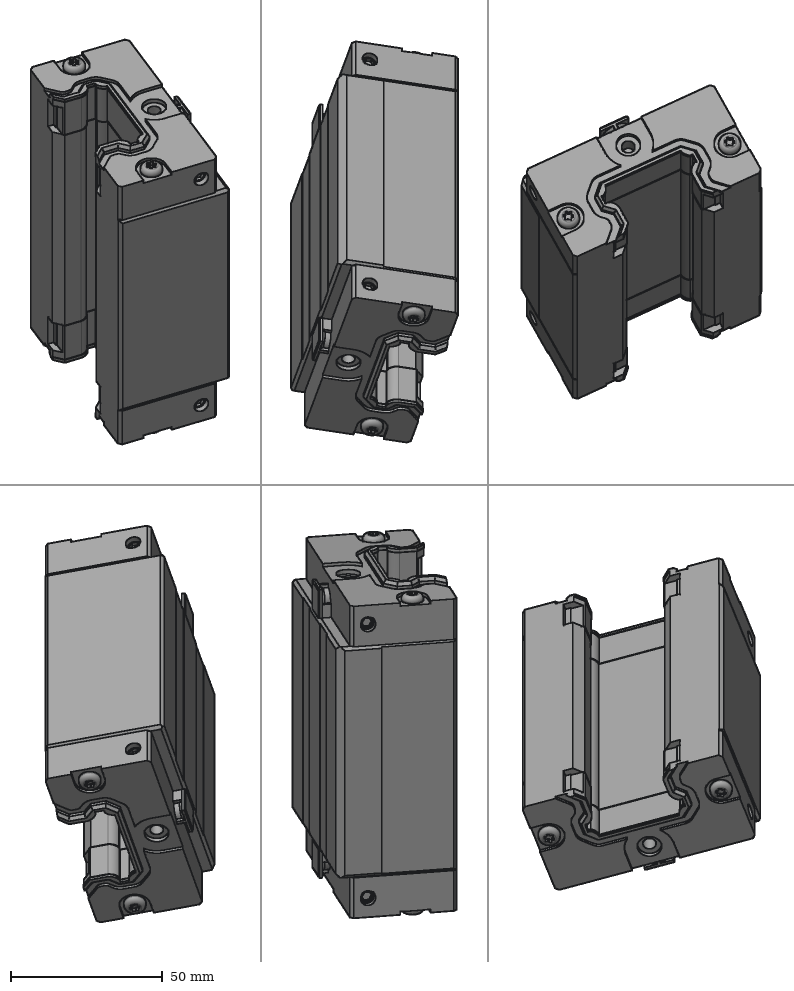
import cadquery as cq
import math

HALF_LENGTH = 55.8

BLOCK_WIDTH = 70.0
BLOCK_HEIGHT = 40.5
BLOCK_HALF_LENGTH = 40.4
BLOCK_END_BEVEL = 1.1
BLOCK_LEFT_CHAMFER = 2.6
BLOCK_RIGHT_CHAMFER = 1.1
SIDE_RECESS = 0.3
SIDE_RECESS_TOP = 25.4
TOP_GROOVE_INNER = 7.9
TOP_GROOVE_OUTER = 18.3
TOP_GROOVE_DEPTH = 0.2

CAP_WIDTH = 69.4
CAP_HEIGHT = 35.9
CAP_END = 54.5
CORNER_CHAMFER = 1.1

CHANNEL_TOP = 18.5
CHANNEL_TOP_HALF = 13.8
CHANNEL_WAIST_HALF = 16.8
CHANNEL_SHELF_HALF = 16.0
CHANNEL_WAIST_TOP = 15.5
CHANNEL_WAIST_BOTTOM = 12.5
CHANNEL_LIP_HALF = 13.4
CHANNEL_LIP_TOP = 9.0
CHANNEL_LIP_BOTTOM = 2.9
TRACK_RADIUS = 4.5
CAP_CLEARANCE = 0.2
BLOCK_CLEARANCE = 0.5

SEAL_TOP = 20.5
SEAL_TOP_HALF = 14.9
SEAL_WAIST_HALF = 18.7
SEAL_WAIST_TOP = SEAL_TOP - (SEAL_WAIST_HALF - SEAL_TOP_HALF)
SEAL_WAIST_BOTTOM = 11.6
SEAL_NECK_HALF = 15.7
SEAL_NECK_TOP = SEAL_WAIST_BOTTOM - (SEAL_WAIST_HALF - SEAL_NECK_HALF)
SEAL_NECK_BOTTOM = 3.5
SEAL_BEVEL = 0.9
TRENCH_WIDTH = 2.7
TRENCH_BEND_RADIUS = 4.5
TRENCH_NECK_RADIUS = 2.2
TRENCH_FLOOR = CAP_END - 1.1

PORT_HEIGHT = 29.1
PORT_TAB_RADIUS = 8.3
PORT_SEAT_DIAMETER = 8.0
PORT_SEAT_DEPTH = 1.6
PORT_HOLE_DIAMETER = 4.3
PORT_HOLE_DEPTH = 5.6

SCREW_X = 29.8
SCREW_HEIGHT = 14.0
SCREW_POCKET_RADIUS = 5.1
SCREW_HEAD_DIAMETER = 7.4
SCREW_CROWN_DIAMETER = 4.3
SCREW_RIM_HEIGHT = 0.5
LOBE_COUNT = 6
LOBE_CORE_DIAMETER = 2.5
LOBE_DIAMETER = 0.9
LOBE_CIRCLE_RADIUS = 1.2
SOCKET_DEPTH = 1.5

SET_SCREW_Y = 30.0
SET_SCREW_Z = 47.8
SET_SCREW_DIAMETER = 5.0
SET_SCREW_CROWN_DIAMETER = 4.0
SET_SCREW_SINK = 1.7
SET_SCREW_CHAMFER_DEPTH = 0.6
SET_SCREW_HEX = 3.6
SET_SCREW_HEX_DEPTH = 1.3

WINDOW_END = 51.7
WINDOW_INNER_FLOOR = 2.5
WINDOW_OUTER_FLOOR = 2.1
WINDOW_STEP_X = 18.4
WINDOW_OUTER_X = 20.2

ADAPTER_BASE_WIDTH = 9.9
ADAPTER_BASE_END = 45.0
ADAPTER_BARREL_Z = 45.5
ADAPTER_BARREL_DIAMETER = 7.6
ADAPTER_COLLAR_DIAMETER = 9.0
ADAPTER_CONE_BOTTOM = 37.8
ADAPTER_PLATE_WIDTH = 10.3
ADAPTER_PLATE_END = 50.4
ADAPTER_PLATE_BOTTOM = 38.9
ADAPTER_PLATE_TOP = 40.3
ADAPTER_PLATE_CHAMFER = 0.5
ADAPTER_RIB_WIDTH = 1.2

OVERLAP = 5.6


def box_between(x_range, y_range, z_range):
    """Axis-aligned box from (low, high) pairs."""
    spans = [high - low for low, high in (x_range, y_range, z_range)]
    corner = (x_range[0], y_range[0], z_range[0])
    return cq.Workplane("XY").box(*spans, centered=False).translate(corner)


def end_plane(z):
    return cq.Workplane("XY").workplane(offset=z)


def on_both_sides(solid):
    return solid.union(solid.mirror("YZ"))


def bulge_point(start, end):
    """Middle of the arc from start to end, bulging to the right of the travel direction."""
    chord_x = end[0] - start[0]
    chord_y = end[1] - start[1]
    chord = math.hypot(chord_x, chord_y)
    rise = TRACK_RADIUS - math.sqrt(TRACK_RADIUS**2 - (chord / 2) ** 2)
    middle_x = (start[0] + end[0]) / 2
    middle_y = (start[1] + end[1]) / 2
    return (middle_x + rise * chord_y / chord, middle_y - rise * chord_x / chord)


def channel(clearance, z_low, z_high):
    """Rail channel with its walls moved outwards by the clearance."""
    top = (CHANNEL_TOP_HALF, CHANNEL_TOP)
    shelf_top = (CHANNEL_SHELF_HALF, CHANNEL_WAIST_TOP)
    shelf_bottom = (CHANNEL_SHELF_HALF, CHANNEL_WAIST_BOTTOM)
    lip_top = (CHANNEL_LIP_HALF, CHANNEL_LIP_TOP)
    section = (
        end_plane(z_low)
        .moveTo(0, CHANNEL_TOP)
        .lineTo(*top)
        .threePointArc(bulge_point(top, shelf_top), shelf_top)
        .lineTo(CHANNEL_WAIST_HALF, CHANNEL_WAIST_TOP)
        .lineTo(CHANNEL_WAIST_HALF, CHANNEL_WAIST_BOTTOM)
        .lineTo(*shelf_bottom)
        .threePointArc(bulge_point(shelf_bottom, lip_top), lip_top)
        .lineTo(CHANNEL_LIP_HALF, CHANNEL_LIP_BOTTOM)
        .line(CHANNEL_LIP_BOTTOM + OVERLAP, -CHANNEL_LIP_BOTTOM - OVERLAP)
        .lineTo(0, -OVERLAP)
        .mirrorY()
    )
    if clearance > 0:
        section = section.offset2D(clearance, "intersection")
    return section.extrude(z_high - z_low)


def seal_outline(z):
    """Outer outline of the end seal, running on below the underside."""
    right = [
        (SEAL_TOP_HALF, SEAL_TOP),
        (SEAL_WAIST_HALF, SEAL_WAIST_TOP),
        (SEAL_WAIST_HALF, SEAL_WAIST_BOTTOM),
        (SEAL_NECK_HALF, SEAL_NECK_TOP),
        (SEAL_NECK_HALF, SEAL_NECK_BOTTOM),
        (SEAL_NECK_HALF + SEAL_NECK_BOTTOM + OVERLAP, -OVERLAP),
    ]
    left = [(-x, y) for x, y in reversed(right)]
    return end_plane(z).polyline(right + left).close()


def make_block():
    half = BLOCK_WIDTH / 2
    outline = [
        (-half, -OVERLAP),
        (half, -OVERLAP),
        (half, BLOCK_HEIGHT - BLOCK_RIGHT_CHAMFER),
        (half - BLOCK_RIGHT_CHAMFER, BLOCK_HEIGHT),
        (-half + BLOCK_LEFT_CHAMFER, BLOCK_HEIGHT),
        (-half, BLOCK_HEIGHT - BLOCK_LEFT_CHAMFER),
    ]
    ends = (-BLOCK_HALF_LENGTH, BLOCK_HALF_LENGTH)
    envelope = box_between((-half, half), (-OVERLAP, BLOCK_HEIGHT), ends)
    envelope = envelope.faces("|Z").chamfer(BLOCK_END_BEVEL)
    block = end_plane(ends[0]).polyline(outline).close().extrude(ends[1] - ends[0])
    block = block.intersect(envelope)
    block = block.cut(box_between((-half, half), (-OVERLAP, 0), ends))
    block = block.cut(box_between((-half, -half + SIDE_RECESS), (0, SIDE_RECESS_TOP), ends))
    block = block.edges("|Z").edges("<Y").chamfer(CORNER_CHAMFER)
    groove = box_between(
        (TOP_GROOVE_INNER, TOP_GROOVE_OUTER),
        (BLOCK_HEIGHT - TOP_GROOVE_DEPTH, BLOCK_HEIGHT),
        ends,
    )
    return block.cut(on_both_sides(groove)).cut(channel(BLOCK_CLEARANCE, *ends))


def make_end_trench():
    """Recess around the end seal, joined to the round tab of the lubrication port."""
    depth = CAP_END - TRENCH_FLOOR
    ring = seal_outline(TRENCH_FLOOR).offset2D(TRENCH_WIDTH, "intersection").extrude(depth)
    bends = ring.edges("|Z").filter(lambda edge: edge.Center().y > SEAL_NECK_TOP)
    ring = bends.fillet(TRENCH_BEND_RADIUS)
    necks = ring.edges("|Z").filter(lambda edge: 0 < edge.Center().y < SEAL_NECK_TOP)
    ring = necks.fillet(TRENCH_NECK_RADIUS)
    tab = end_plane(TRENCH_FLOOR).center(0, PORT_HEIGHT).circle(PORT_TAB_RADIUS).extrude(depth)
    tab_width = (-PORT_TAB_RADIUS, PORT_TAB_RADIUS)
    opening = box_between(tab_width, (PORT_HEIGHT, CAP_HEIGHT), (TRENCH_FLOOR, CAP_END))
    return ring.union(tab).union(opening)


def make_port():
    seat_floor = TRENCH_FLOOR - PORT_SEAT_DEPTH
    port_plane = end_plane(seat_floor).center(0, PORT_HEIGHT)
    seat = port_plane.circle(PORT_SEAT_DIAMETER / 2).extrude(PORT_SEAT_DEPTH)
    hole = port_plane.circle(PORT_HOLE_DIAMETER / 2).extrude(-PORT_HOLE_DEPTH)
    return seat.union(hole)


def make_screw_pocket():
    """Pocket around the right-hand screw, open to the side of the cap."""
    depth = CAP_END - TRENCH_FLOOR
    y_range = (SCREW_HEIGHT - SCREW_POCKET_RADIUS, SCREW_HEIGHT + SCREW_POCKET_RADIUS)
    screw_plane = end_plane(TRENCH_FLOOR).center(SCREW_X, SCREW_HEIGHT)
    round_end = screw_plane.circle(SCREW_POCKET_RADIUS).extrude(depth)
    return round_end.union(box_between((SCREW_X, CAP_WIDTH / 2), y_range, (TRENCH_FLOOR, CAP_END)))


def make_screw_head():
    """Domed head of the right-hand screw with a six-lobe socket."""
    head_radius = SCREW_HEAD_DIAMETER / 2
    crown_radius = SCREW_CROWN_DIAMETER / 2
    rim = TRENCH_FLOOR + SCREW_RIM_HEIGHT
    dome_width = head_radius - crown_radius
    dome_height = HALF_LENGTH - rim
    dome_middle = (crown_radius + dome_width * math.sqrt(0.5), rim + dome_height * math.sqrt(0.5))
    head = (
        cq.Workplane("XZ")
        .moveTo(0, TRENCH_FLOOR - OVERLAP)
        .lineTo(head_radius, TRENCH_FLOOR - OVERLAP)
        .lineTo(head_radius, rim)
        .threePointArc(dome_middle, (crown_radius, HALF_LENGTH))
        .lineTo(0, HALF_LENGTH)
        .close()
        .revolve(360, (0, 0), (0, 1))
    )
    socket = end_plane(HALF_LENGTH).circle(LOBE_CORE_DIAMETER / 2).extrude(-SOCKET_DEPTH)
    lobes = (
        end_plane(HALF_LENGTH)
        .polarArray(LOBE_CIRCLE_RADIUS, 360 / LOBE_COUNT / 2, 360, LOBE_COUNT)
        .circle(LOBE_DIAMETER / 2)
        .extrude(-SOCKET_DEPTH)
    )
    return head.cut(socket).cut(lobes).translate((SCREW_X, SCREW_HEIGHT, 0))


def make_set_screw_hole():
    """Hole in the right-hand side of the cap, with a sunk hexagon-socket set screw."""
    side = CAP_WIDTH / 2
    floor = side - SET_SCREW_SINK

    def disc_plane(x):
        return cq.Workplane("YZ", origin=(x, SET_SCREW_Y, SET_SCREW_Z))

    radius = SET_SCREW_DIAMETER / 2
    bore_depth = SET_SCREW_SINK + SET_SCREW_CHAMFER_DEPTH
    bore = disc_plane(floor - SET_SCREW_CHAMFER_DEPTH).circle(radius).extrude(bore_depth)
    chamfer_width = (SET_SCREW_DIAMETER - SET_SCREW_CROWN_DIAMETER) / 2
    taper = math.degrees(math.atan(chamfer_width / SET_SCREW_CHAMFER_DEPTH))
    tip = (
        disc_plane(floor - SET_SCREW_CHAMFER_DEPTH)
        .circle(radius)
        .extrude(SET_SCREW_CHAMFER_DEPTH, taper=taper)
    )
    socket = disc_plane(floor).polygon(6, SET_SCREW_HEX).extrude(-SET_SCREW_HEX_DEPTH)
    return bore.cut(tip).union(socket)


def make_lip_window():
    """Stepped window in the right-hand lip."""
    z_range = (BLOCK_HALF_LENGTH, WINDOW_END)
    inner = box_between((0, WINDOW_STEP_X), (-OVERLAP, WINDOW_INNER_FLOOR), z_range)
    outer = box_between((WINDOW_STEP_X, WINDOW_OUTER_X), (-OVERLAP, WINDOW_OUTER_FLOOR), z_range)
    return inner.union(outer)


def make_seal():
    """Raised end seal with a bevelled outer edge."""
    rise = HALF_LENGTH - CAP_END
    foot = seal_outline(TRENCH_FLOOR).extrude(CAP_END - TRENCH_FLOOR)
    bevel = seal_outline(CAP_END).extrude(rise, taper=math.degrees(math.atan(SEAL_BEVEL / rise)))
    reach = CAP_WIDTH / 2
    above_underside = box_between((-reach, reach), (0, CAP_HEIGHT), (TRENCH_FLOOR, HALF_LENGTH))
    return foot.union(bevel).intersect(above_underside)


def make_adapter():
    """Lubrication adapter: stepped base, round barrel with a conical collar, rib and top plate."""

    def upright_circle(y, diameter):
        return cq.Workplane("XZ", origin=(0, y, ADAPTER_BARREL_Z)).circle(diameter / 2)

    def slab(width, y_range, z_end):
        return box_between((-width / 2, width / 2), y_range, (BLOCK_HALF_LENGTH, z_end))

    stem = (CAP_HEIGHT, ADAPTER_PLATE_BOTTOM)
    base = slab(ADAPTER_BASE_WIDTH, stem, ADAPTER_BASE_END)
    rib = slab(ADAPTER_RIB_WIDTH, stem, ADAPTER_PLATE_END)
    plate = slab(ADAPTER_PLATE_WIDTH, (ADAPTER_PLATE_BOTTOM, ADAPTER_PLATE_TOP), ADAPTER_PLATE_END)
    plate = plate.faces(">Y").edges("not <Z").chamfer(ADAPTER_PLATE_CHAMFER)
    barrel = upright_circle(CAP_HEIGHT, ADAPTER_BARREL_DIAMETER)
    barrel = barrel.extrude(CAP_HEIGHT - ADAPTER_PLATE_BOTTOM)
    cone_height = ADAPTER_PLATE_BOTTOM - ADAPTER_CONE_BOTTOM
    collar = (
        upright_circle(ADAPTER_CONE_BOTTOM, ADAPTER_BARREL_DIAMETER)
        .workplane(offset=-cone_height)
        .circle(ADAPTER_COLLAR_DIAMETER / 2)
        .loft()
    )
    return base.union(barrel).union(collar).union(rib).union(plate)


def make_end():
    """Complete +Z end: cap, seal, screws and lubrication adapter."""
    side = CAP_WIDTH / 2
    cap = box_between((-side, side), (0, CAP_HEIGHT), (BLOCK_HALF_LENGTH, CAP_END))
    cap = cap.edges("|Z").chamfer(CORNER_CHAMFER)
    cap = cap.cut(make_end_trench()).cut(make_port())
    cap = cap.cut(on_both_sides(make_screw_pocket())).union(on_both_sides(make_screw_head()))
    cap = cap.union(make_seal())
    cap = cap.cut(channel(CAP_CLEARANCE, BLOCK_HALF_LENGTH, CAP_END))
    cap = cap.cut(channel(0, CAP_END, HALF_LENGTH))
    cap = cap.cut(on_both_sides(make_lip_window()))
    return cap.cut(on_both_sides(make_set_screw_hole())).union(make_adapter())


end = make_end()
result = make_block().union(end).union(end.mirror("XY"))